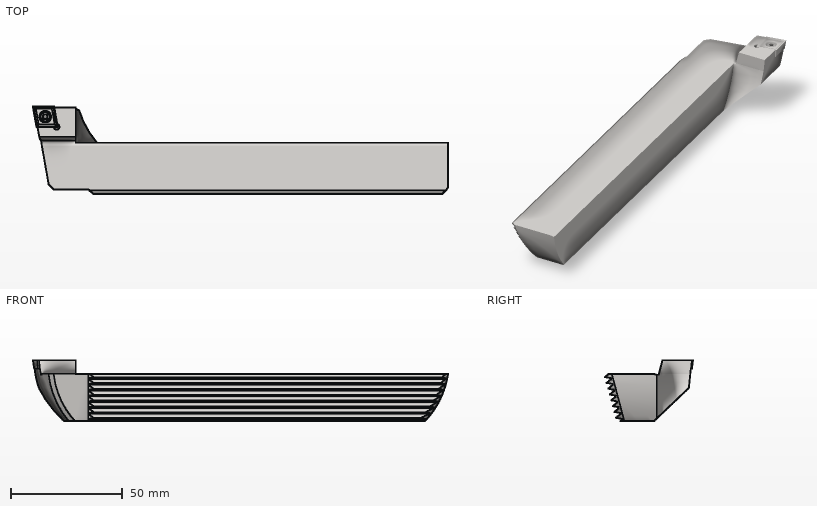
import cadquery as cq
import math


total_length = 185.5
total_height = 27.3
shank_height = 21.2

shank_back = -16.3
ledge_width = 1.3
ledge_drop = 0.4
front_top = -37.3
front_lean = 15.0
lean_tan = math.tan(math.radians(front_lean))
lean_sin = math.sin(math.radians(front_lean))
lean_cos = math.cos(math.radians(front_lean))

tooth_count = 8
tooth_rise = 2.6
tooth_pitch = tooth_rise / lean_cos
root_flat = 0.4
tooth_depth = 2.5
first_tip_z = 19.7
teeth_start = 24.9
teeth_end_chamfer = 3.3

head_back = -0.5
head_knee_y = -1.9
head_knee_z = 14.8
underside_back = -17.5
head_front = -13.7
head_front_foot = -15.4
head_width = 19.3
head_corner_chamfer = (1.9, 2.2)

end_tilt = 10.0
head_end_top = 0.46
head_end_shoulder = 1.0
head_end_foot = 11.0
curve_run = 10.4
curve_bulge = 1.9

insert_width = 9.5
insert_angle = 80.0
insert_thickness = 3.9
insert_clearance = 7.0
insert_nose = 0.4
land_width = 0.46
breaker_depth = 0.28
breaker_slope = 70.0
edge_length = insert_width / math.sin(math.radians(insert_angle))
insert_lean_x = edge_length * math.cos(math.radians(insert_angle))
insert_center = ((edge_length + insert_lean_x) / 2, -insert_width / 2)
pocket_floor = total_height - insert_thickness
relief_radius = 1.3
relief_inset_x = 0.5
relief_inset_y = 0.2

nose_setback = insert_nose * (1 / math.tan(math.radians(insert_angle / 2)) - 1)
tail_x = total_length + nose_setback

screw_head_radius = 2.0
screw_radius = 1.3
screw_sink = 0.7
screw_cone = 1.7
screw_length = 9.3
socket_size = 2.2
socket_depth = 1.3
sink_radius = 3.0

margin = 9.3
cutter_reach = 46.4


def arc_middle(start, end, bulge):
    """Point at `bulge` to the left of the middle of the chord from start to end."""
    run = end[0] - start[0]
    rise = end[1] - start[1]
    chord = math.hypot(run, rise)
    return ((start[0] + end[0]) / 2 - bulge * rise / chord, (start[1] + end[1]) / 2 + bulge * run / chord)


def front_y(z, offset=0.0):
    """Y of the leaning front face at height z, moved out along its normal by offset."""
    return front_top + (shank_height - z) * lean_tan - offset / lean_cos


def make_shank():
    """Straight bar with the leaning front face standing at the tooth tips."""
    underside_slope = (head_knee_y - underside_back) / head_knee_z
    outline = [
        (shank_back - ledge_width, shank_height),
        (shank_back, shank_height - ledge_drop),
        (shank_back, (shank_back - underside_back) / underside_slope),
        (underside_back, 0),
        (front_y(0, tooth_depth), 0),
        (front_y(shank_height, tooth_depth), shank_height),
    ]
    return cq.Workplane("YZ").polyline(outline).close().extrude(tail_x)


def make_head():
    """Raised head at the back of the shank, with a curved neck on its +X side."""
    ledge_z = shank_height - ledge_drop
    section = [
        (head_back, total_height),
        (head_knee_y, head_knee_z),
        (underside_back, 0),
        (underside_back - margin, 0),
        (underside_back - margin, ledge_z),
        (head_front_foot, ledge_z),
        (head_front, total_height),
    ]
    head_reach = head_width + curve_run
    head = cq.Workplane("YZ").polyline(section).close().extrude(head_reach)
    neck_top = (head_width, shank_height)
    neck_bottom = (head_reach, 0)
    side = (
        cq.Workplane("XZ")
        .moveTo(0, 0)
        .lineTo(0, total_height)
        .lineTo(head_width, total_height)
        .lineTo(*neck_top)
        .threePointArc(arc_middle(neck_top, neck_bottom, -curve_bulge), neck_bottom)
        .close()
        .extrude(-underside_back + margin)
    )
    return head.intersect(side)


def head_end_cutter():
    """Everything beyond the curved head end, swept along the lead angle."""
    foot = (head_end_foot, 0)
    outer = -2 * margin
    wire = (
        cq.Workplane("XZ")
        .moveTo(outer, 0)
        .lineTo(outer, total_height)
        .lineTo(head_end_top, total_height)
        .threePointArc((head_end_shoulder, shank_height), foot)
        .close()
        .val()
    )
    sweep = cq.Vector(cutter_reach * math.tan(math.radians(end_tilt)), -cutter_reach, 0)
    return cq.Workplane(cq.Solid.extrudeLinear(wire, [], sweep))


def tail_end_cutter():
    """Everything beyond the curved tail end."""
    top = (tail_x, shank_height)
    foot = (tail_x - curve_run, 0)
    return (
        cq.Workplane("XZ", origin=(0, head_back, 0))
        .moveTo(*top)
        .threePointArc(arc_middle(top, foot, curve_bulge), foot)
        .lineTo(tail_x, 0)
        .close()
        .extrude(cutter_reach)
    )


def front_relief_cutter():
    """Leaves the smooth front face at the head, ending in a 45 degree run-out to the teeth."""
    plane = cq.Plane(origin=(0, front_top, shank_height), xDir=(1, 0, 0), normal=(0, -lean_sin, lean_cos))
    outline = [
        (-margin, 0),
        (teeth_start, 0),
        (teeth_start + margin, -margin),
        (-margin, -margin),
    ]
    return cq.Workplane(plane).polyline(outline).close().extrude(2 * total_height, both=True)


def groove_point(middle, along, inward):
    """(Y, Z) of a point up along the leaning front face and inward from the tooth tips."""
    y = middle[0] - along * lean_sin + inward * lean_cos
    z = middle[1] + along * lean_cos + inward * lean_sin
    return y, z


def groove_cutters():
    """V grooves between the teeth, with one more above the first and below the last."""
    grooves = cq.Workplane("YZ")
    for i in range(tooth_count + 1):
        middle_z = first_tip_z - (i - 0.5) * tooth_rise
        middle = (front_y(middle_z, tooth_depth), middle_z)
        outline = [
            groove_point(middle, tooth_pitch / 2, 0),
            groove_point(middle, root_flat / 2, tooth_depth),
            groove_point(middle, -root_flat / 2, tooth_depth),
            groove_point(middle, -tooth_pitch / 2, 0),
        ]
        grooves = grooves.polyline(outline).close()
    return grooves.extrude(tail_x)


def rhombus(inset):
    """Insert plan outline on the top face, moved inwards by inset."""
    scale = 1 - 2 * inset / insert_width
    corners = [
        (0, 0),
        (edge_length, 0),
        (edge_length + insert_lean_x, -insert_width),
        (insert_lean_x, -insert_width),
    ]
    cx, cy = insert_center
    points = [(cx + scale * (x - cx), cy + scale * (y - cy)) for x, y in corners]
    return cq.Workplane("XY", origin=(0, 0, total_height)).polyline(points).close()


def insert_blank():
    """Tapered rhombic insert without its top details; also the shape of its seat."""
    return (
        rhombus(0)
        .extrude(-insert_thickness, taper=insert_clearance)
        .edges("not(<Z or >Z)")
        .fillet(insert_nose)
    )


def screw_blank():
    """Countersunk screw without its socket; also the shape of its hole."""
    top = total_height - screw_sink
    profile = [
        (0, top),
        (screw_head_radius, top),
        (screw_radius, top - screw_cone),
        (screw_radius, top - screw_length),
        (0, top - screw_length),
    ]
    return (
        cq.Workplane("XZ", origin=(insert_center[0], insert_center[1], 0))
        .polyline(profile)
        .close()
        .revolve(360, (0, 0), (0, 1))
    )


def make_screw():
    """Clamping screw with a hexagon socket."""
    top = total_height - screw_sink
    socket = (
        cq.Workplane("XY", origin=(*insert_center, top))
        .polygon(6, socket_size)
        .extrude(-socket_depth)
    )
    return screw_blank().cut(socket)


def make_insert():
    """Cutting insert with a sunken chip breaker and a countersunk screw hole."""
    breaker = rhombus(land_width).extrude(-breaker_depth, taper=breaker_slope)
    sink = (
        cq.Workplane("XY", origin=(*insert_center, total_height))
        .circle(sink_radius)
        .workplane(offset=-screw_sink)
        .circle(screw_head_radius)
        .loft()
    )
    return insert_blank().cut(breaker).cut(sink).cut(screw_blank())


def pocket_cutter():
    """Insert seat with a round relief at its inner corner."""
    corner = (edge_length + insert_lean_x - relief_inset_x, -insert_width + relief_inset_y)
    relief = (
        cq.Workplane("XY", origin=(*corner, pocket_floor))
        .circle(relief_radius)
        .extrude(insert_thickness)
    )
    return insert_blank().union(relief)


def make_holder():
    """Bar and head in one body, trimmed, bevelled, serrated and pocketed."""
    holder = make_shank().union(make_head())
    holder = holder.cut(head_end_cutter()).cut(tail_end_cutter()).cut(front_relief_cutter())
    mid_z = shank_height / 2
    tail_edge = cq.NearestToPointSelector((tail_x, front_y(mid_z, tooth_depth), mid_z))
    holder = holder.edges(tail_edge).chamfer(teeth_end_chamfer, tooth_depth)
    corner_edge = cq.NearestToPointSelector((head_end_foot, front_y(mid_z), mid_z))
    holder = holder.edges(corner_edge).chamfer(*head_corner_chamfer)
    return holder.cut(groove_cutters()).cut(pocket_cutter()).cut(screw_blank())


holder = make_holder()
insert = make_insert()
screw = make_screw()

result = cq.Compound.makeCompound([body.solids().val() for body in (holder, insert, screw)])